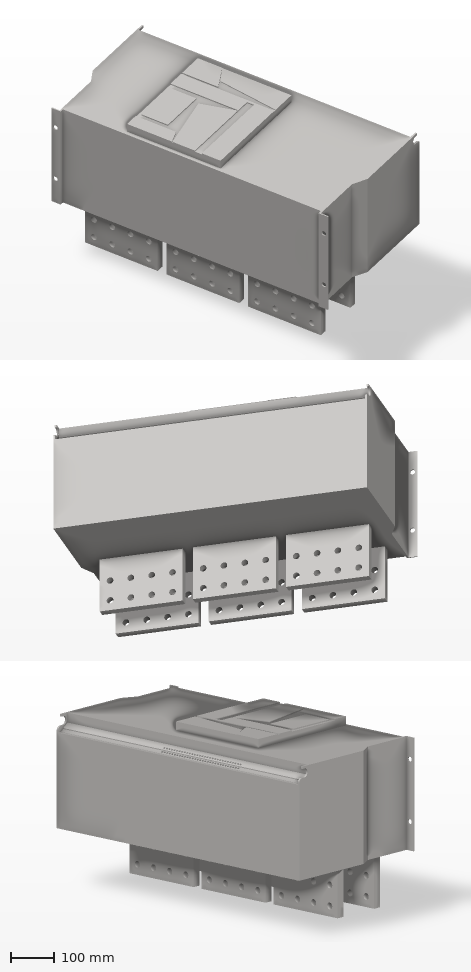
import cadquery as cq
import math


overall_width = 767.0
depth = 394.0
height = 271.5
rear_half_width = 381.0
front_half_width = 362.0
shoulder_rear_y = 172.5
shoulder_front_y = 136.0
plate_thickness = 4.5
core_front_y = 10.0

flange_thickness = 3.0
flange_hole_diameter = 12.0
flange_hole_x = 372.0
flange_hole_heights = (69.0, 218.5)

hook_rear_y = 383.0
slot_radius = 11.0
slot_center_y = 376.5
slot_center_z = 255.0
slot_corner_radius = 9.0

slope_angle = math.radians(36)
ledge_z = 229.0
ledge_front_y = 384.0
step_y = 376.5
step_height = 2.0
core_top_rear_y = 362.0
slope = math.tan(slope_angle)
step_bottom_z = ledge_z + (ledge_front_y - step_y) * slope
step_top_z = step_bottom_z + step_height
slope_top_z = step_top_z + (step_y - core_top_rear_y) * slope

pocket_columns = 31
pocket_row_length = 245.0
pocket_length = 5.0
pocket_pitch = (pocket_row_length - pocket_length) / (pocket_columns - 1)
pocket_width = 4.0
upper_pocket_row_y = 372.0
lower_pocket_row_y = 380.0
pocket_depth = 3.0

bar_width = 202.0
bar_thickness = 20.0
bar_drop = 133.5
bar_pitch = 226.0
bar_center_ys = (67.0, 192.5)
bar_hole_diameter = 16.0
bar_hole_pitch = 51.0
bar_hole_columns = 4
bar_hole_rows = 2
bar_bottom_margin = 25.0

panel_left = -186.0
panel_right = 73.0
panel_front = 20.0
panel_back = 321.0
panel_base_height = 19.0
relief_height = 3.0
lower_relief_height = 2.0


def slab(points, bottom, thickness):
    """Extrude an XY outline upward from the given height."""
    return cq.Workplane("XY").workplane(offset=bottom).polyline(points).close().extrude(thickness)


def side_prism(profile, start_x, end_x):
    """Extrude a closed YZ profile from start_x to end_x."""
    return profile.extrude(end_x - start_x).translate((start_x, 0, 0))


def stepped_outline(inset, front_y):
    """Plan outline, wide at the rear and narrow at the front, moved inward by inset."""
    rear_x = rear_half_width - inset
    front_x = front_half_width - inset
    right_side = [
        (front_x, front_y),
        (front_x, shoulder_front_y),
        (rear_x, shoulder_rear_y),
        (rear_x, depth),
    ]
    left_side = [(-x, y) for x, y in reversed(right_side)]
    return right_side + left_side


def make_pocket_row(row_y, surface_z):
    """Cutter for one row of pockets, in line with the middle of the cover panel."""
    panel_center_x = (panel_left + panel_right) / 2
    return (
        cq.Workplane("XY", origin=(panel_center_x, row_y, surface_z - pocket_depth))
        .rarray(pocket_pitch, 8, pocket_columns, 1)
        .rect(pocket_length, pocket_width)
        .extrude(2 * pocket_depth)
    )


def make_core():
    """Solid enclosure body with the stepped slope cut into its upper rear edge."""
    core = slab(stepped_outline(plate_thickness, core_front_y), 0, height)
    rear_cut = cq.Workplane("YZ").polyline([
        (depth, ledge_z),
        (ledge_front_y, ledge_z),
        (step_y, step_bottom_z),
        (step_y, step_top_z),
        (core_top_rear_y, slope_top_z),
        (core_top_rear_y, height),
        (depth, height),
    ]).close()
    core = core.cut(side_prism(rear_cut, -rear_half_width, rear_half_width))

    upper_row_z = step_top_z + (step_y - upper_pocket_row_y) * slope
    lower_row_z = ledge_z + (ledge_front_y - lower_pocket_row_y) * slope
    core = core.cut(make_pocket_row(upper_pocket_row_y, upper_row_z))
    return core.cut(make_pocket_row(lower_pocket_row_y, lower_row_z))


def make_side_plates():
    """Both bent side plates, including the hook slots and mounting flanges."""
    blank = slab(stepped_outline(0, 0), 0, height)
    plates = blank.cut(slab(stepped_outline(plate_thickness, 0), 0, height))

    slot_bottom_z = slot_center_z - slot_radius
    slot_top_z = slot_center_z + slot_radius
    hook_cut = (
        cq.Workplane("YZ")
        .moveTo(hook_rear_y, height)
        .lineTo(hook_rear_y, slot_top_z)
        .lineTo(slot_center_y, slot_top_z)
        .threePointArc((slot_center_y - slot_radius, slot_center_z), (slot_center_y, slot_bottom_z))
        .lineTo(depth - slot_corner_radius, slot_bottom_z)
        .radiusArc((depth, slot_bottom_z - slot_corner_radius), slot_corner_radius)
        .lineTo(depth, height)
        .close()
    )
    plates = plates.cut(side_prism(hook_cut, -rear_half_width, rear_half_width))

    flange_width = overall_width / 2 - front_half_width
    for side in (-1, 1):
        flange = cq.Workplane("XY").box(
            flange_width, flange_thickness, height, centered=(True, False, False)
        ).translate((side * (front_half_width + flange_width / 2), 0, 0))
        holes = (
            cq.Workplane("XZ")
            .pushPoints([(side * flange_hole_x, z) for z in flange_hole_heights])
            .circle(flange_hole_diameter / 2)
            .extrude(-flange_thickness)
        )
        plates = plates.union(flange.cut(holes))
    return plates


def make_bar(center_x, center_y):
    """One flat terminal bar hanging below the enclosure, with its bolt holes."""
    front_y = center_y - bar_thickness / 2
    bar = cq.Workplane("XY").box(
        bar_width, bar_thickness, bar_drop, centered=(True, False, False)
    ).translate((center_x, front_y, -bar_drop))
    pattern_z = -bar_drop + bar_bottom_margin + bar_hole_pitch * (bar_hole_rows - 1) / 2
    holes = (
        cq.Workplane("XZ", origin=(center_x, front_y, pattern_z))
        .rarray(bar_hole_pitch, bar_hole_pitch, bar_hole_columns, bar_hole_rows)
        .circle(bar_hole_diameter / 2)
        .extrude(-bar_thickness)
    )
    return bar.cut(holes)


def rectangle(left, front, right, back):
    """Corner points of an XY rectangle."""
    return [(left, front), (right, front), (right, back), (left, back)]


def make_panel():
    """Cover panel: a flat base carrying shallow raised fields."""
    base = slab(rectangle(panel_left, panel_front, panel_right, panel_back), height, panel_base_height)

    upper_fields_front = 255.0
    upper_left_corner_x = -87.0
    upper_split_x = -119.0
    upper_right_corner = (-95.0, 277.0)
    upper_left_field = [
        (panel_left, upper_fields_front),
        (upper_left_corner_x, upper_fields_front),
        (upper_split_x, panel_back),
        (panel_left, panel_back),
    ]
    upper_right_field = [
        (upper_split_x, panel_back),
        upper_right_corner,
        (panel_right, upper_fields_front),
        (panel_right, panel_back),
    ]

    frame_back = 249.0
    frame_arm_front = 205.0
    slot_left = 1.5
    slot_right = 21.0
    slot_back = 242.0
    frame_field = [
        (panel_left, frame_arm_front),
        (slot_left, frame_arm_front),
        (slot_left, slot_back),
        (slot_right, slot_back),
        (slot_right, panel_front),
        (panel_right, panel_front),
        (panel_right, frame_back),
        (panel_left, frame_back),
    ]

    corner_gap = 1.5
    blade_front_x = -60.5
    blade_left_corner = (-90.5, 176.5)
    blade_field = [
        (blade_front_x, panel_front),
        (slot_left, panel_front),
        (slot_left, frame_arm_front - corner_gap),
        blade_left_corner,
    ]
    lower_left_back = 57.0
    lower_left_corner_x = -74.5
    lower_left_field = [
        (panel_left, panel_front),
        (blade_front_x - corner_gap, panel_front),
        (lower_left_corner_x, lower_left_back),
        (panel_left, lower_left_back),
    ]

    display_left = -179.0
    display_right = -105.0
    display_front = 69.0
    display_back = 190.0
    display_field = rectangle(display_left, display_front, display_right, display_back)

    base_top = height + panel_base_height
    panel = base.union(slab(upper_right_field, base_top, lower_relief_height))
    for field in (upper_left_field, frame_field, blade_field, lower_left_field, display_field):
        panel = panel.union(slab(field, base_top, relief_height))
    return panel


result = make_core().union(make_side_plates()).union(make_panel())
for column in (-1, 0, 1):
    for bar_y in bar_center_ys:
        result = result.union(make_bar(column * bar_pitch, bar_y))